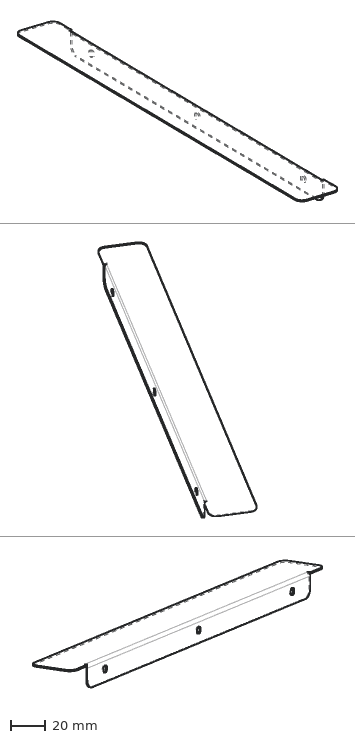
import cadquery as cq

length = 286.5
depth = 29.0
height = 15.0
thickness = 1.0

plate_corner_radius = 5.0
bend_outer_radius = 2.0
bend_inner_radius = bend_outer_radius - thickness

flange_length = 252.7
flange_corner_radius = 5.5
hole_diameter = 4.3
hole_span = 212.3
hole_pitch = hole_span / 2
hole_drop = 7.2

top_z = height / 2
rear_y = depth / 2


def make_plate():
    """Flat top plate with rounded corners."""
    return (
        cq.Workplane("XY", origin=(0, 0, top_z - thickness))
        .rect(length, depth)
        .extrude(thickness)
        .edges("|Z")
        .fillet(plate_corner_radius)
    )


def make_bend_clearance():
    """Rear strip of the plate that gives way to the rounded bend."""
    return cq.Workplane("XY").box(flange_length, bend_outer_radius, thickness).translate(
        (0, rear_y - bend_outer_radius / 2, top_z - thickness / 2)
    )


def make_flange():
    """Flange and bend, swept along X with rounded lower corners."""
    bend_start_y = rear_y - bend_outer_radius
    bend_end_z = top_z - bend_outer_radius
    inner_y = rear_y - thickness
    profile = (
        cq.Workplane("YZ", origin=(-flange_length / 2, 0, 0))
        .moveTo(bend_start_y, top_z)
        .radiusArc((rear_y, bend_end_z), bend_outer_radius)
        .lineTo(rear_y, -top_z)
        .lineTo(inner_y, -top_z)
        .lineTo(inner_y, bend_end_z)
        .radiusArc((bend_start_y, top_z - thickness), -bend_inner_radius)
        .close()
    )
    return profile.extrude(flange_length).faces("<Z").edges("<X or >X").fillet(flange_corner_radius)


def make_holes():
    """Three evenly spaced holes through the flange."""
    return (
        cq.Workplane("XZ", origin=(0, rear_y, 0))
        .pushPoints([(step * hole_pitch, top_z - hole_drop) for step in (-1, 0, 1)])
        .circle(hole_diameter / 2)
        .extrude(thickness)
    )


result = make_plate().cut(make_bend_clearance()).union(make_flange()).cut(make_holes())